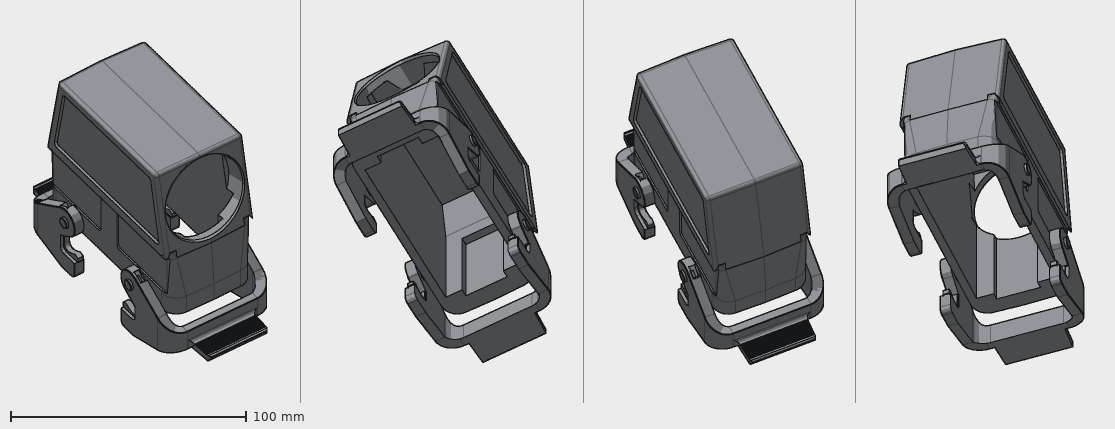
import cadquery as cq
import math

cap_top_z = 75.8
cap_bottom_z = 31.5
cap_top_half_length = 36.5
cap_bottom_half_length = 45.2
cap_half_width = 22.6
cap_draft = 1.3
cap_edge_radius = 1.7
end_slope = (cap_bottom_half_length - cap_top_half_length) / (cap_top_z - cap_bottom_z)

skirt_half_length = 46.9
skirt_half_width = 21.5
skirt_straight_z = 9.2
skirt_foot_radius = 7.6
skirt_neck_radius = 3.9
neck_top_z = 35.3
neck_top_radius = 2.2
neck_inset = 0.3
relief_start_x = 40.6
relief_top_half_width = 20.5

panel_depth = 0.7
panel_wall_angle = 30
window_depth = 1.0
window_bottom_z = 36.7
window_top_z = 70.7
window_inset = 5.2
window_radius = 1.8
side_panel_bottom_z = 10.6
side_panel_inner_x = 5.9
side_panel_radius = 2.0
side_panel_overrun = 6.5
side_panel_corner_x = 41.8

cable_hole_diameter = 40.0
cable_hole_chamfer = 0.7
cable_hole_chamfer_depth = 1.3
cable_hole_z = 53.9
cable_hole_depth = 11.8

cavity_half_length = 36.0
cavity_half_width = 17.8
cavity_shoulder_z = 49.7
cavity_top_z = 70.7
cavity_top_half_length = 32.7
cavity_nose_half_length = 39.4
cavity_nose_half_width = 10.0
cavity_nose_top_z = 41.9

pivot_x = 23.8
pivot_z = 5.9
peg_diameter = 5.1
peg_end_y = 28.6
peg_chamfer = 0.3
boss_diameter = 7.1

lever_outer_y = 27.4
arm_thickness = 4.8
lever_inner_y = lever_outer_y - arm_thickness
bail_outer_x = 53.3
bail_thickness = 3.8
bail_outer_radius = 9.2
bail_inner_radius = 5.9
trim_outer_radius = 9.8
trim_inner_radius = 3.3
trim_height = 10.5
corner_steps = 6
bail_top_z = -3.9
bail_bottom_z = -14.4
lever_bottom_z = -22.0
pivot_disc_radius = 7.0
lever_chamfer = 0.33

throat_x = 26.7
throat_top_z = -4.2
throat_curve_z = -8.6
throat_low_point = (-24.1, -11.7)
throat_start_direction = (0, -1)
hook_hump_point = (-19.6, -10.1)
hook_end_direction = (1, -0.5)
hook_tip_x = 16.6
hook_front_x = 17.0
hook_tip_z = -10.5
hook_step_z = -12.8
hook_front_radius = 2.6
lever_heel_x = 26.6

outer_plate_thickness = 1.6
outer_plate_y = lever_outer_y - outer_plate_thickness
hook_inner_step = 0.5
lip_z = -13.0
lip_throat_x = 27.5
lip_corner_radius = 2.6
lip_overrun = 1.3
spring_slot_inner_x = 25.1
spring_slot_outer_x = 29.8
spring_slot_depth = 2.0
spring_stop_inner_x = 26.0
spring_stop_outer_x = 28.8
spring_stop_width = 1.5
spring_stop_drop = 1.3

grip_tip_x = 65.5
grip_top_z = -11.1
grip_bottom_z = bail_bottom_z
grip_tip_edge_z = -12.0
grip_tip_undercut = 1.2
grip_tip_bevel = 0.9
grip_tip_bevel_drop = 0.4
grip_root_half_width = 16.1
grip_tip_half_width = 15.2
grip_root_fillet = 2.0
grip_tip_corner = 1.3
pick_margin = 0.07
groove_count = 11
groove_pitch = 0.8
groove_width = 0.4
groove_depth = 0.2
groove_start_x = 55.4


def cap_end_x(z):
    """Half-length of the cap at height z, on the parting plane."""
    return cap_top_half_length + end_slope * (cap_top_z - z)


def both_y_sides(solid):
    return solid.union(solid.mirror("XZ"))


def cap():
    half = (
        cq.Workplane("XZ")
        .polyline([
            (-cap_bottom_half_length, cap_bottom_z),
            (cap_bottom_half_length, cap_bottom_z),
            (cap_top_half_length, cap_top_z),
            (-cap_top_half_length, cap_top_z),
        ])
        .close()
        .extrude(cap_half_width, taper=cap_draft)
    )
    draft_inset = cap_half_width * math.tan(math.radians(cap_draft))
    upper_edges = cq.selectors.BoxSelector(
        (-cap_bottom_half_length, -2 * cap_half_width, cap_bottom_z + 2 * draft_inset),
        (cap_bottom_half_length, -cap_half_width / 4, 2 * cap_top_z),
    )
    half = half.edges(upper_edges).fillet(cap_edge_radius)
    return both_y_sides(half)


def corner_relief():
    """Wedges that lift the ledge at the four cap corners."""
    edge_z = cap_bottom_z + cap_half_width * math.tan(math.radians(cap_draft))
    inner_y = skirt_half_width - skirt_neck_radius
    wedge = (
        cq.Workplane("YZ", origin=(relief_start_x, 0, 0))
        .polyline([
            (inner_y, cap_bottom_z),
            (cap_half_width, cap_bottom_z),
            (cap_half_width, edge_z),
            (relief_top_half_width, neck_top_z),
            (inner_y, neck_top_z),
        ])
        .close()
        .extrude(skirt_half_length - relief_start_x)
    )
    wedge = wedge.union(wedge.mirror("YZ"))
    return both_y_sides(wedge)


def skirt_section(half_length, corner_radius, z):
    """Rectangle with rounded corners whose ends come to a slight ridge at Y = 0."""
    side = half_length - skirt_half_width * math.tan(math.radians(cap_draft))
    wire = cq.Wire.makePolygon([
        cq.Vector(half_length, 0, z),
        cq.Vector(side, skirt_half_width, z),
        cq.Vector(-side, skirt_half_width, z),
        cq.Vector(-half_length, 0, z),
        cq.Vector(-side, -skirt_half_width, z),
        cq.Vector(side, -skirt_half_width, z),
    ], close=True)
    corners = [v for v in wire.Vertices() if abs(v.Y) > skirt_half_width / 2]
    return wire.fillet2D(corner_radius, corners)


def skirt():
    sections = [
        skirt_section(skirt_half_length, skirt_foot_radius, 0),
        skirt_section(skirt_half_length, skirt_foot_radius, skirt_straight_z),
        skirt_section(cap_bottom_half_length, skirt_neck_radius, cap_bottom_z),
        skirt_section(cap_end_x(neck_top_z) - neck_inset, neck_top_radius, neck_top_z),
    ]
    return cq.Workplane(obj=cq.Solid.makeLoft(sections, True))


def window_panel():
    bottom_x = cap_end_x(window_bottom_z) - window_inset
    top_x = cap_end_x(window_top_z) - window_inset
    outline = (
        cq.Sketch()
        .polygon([
            (-bottom_x, window_bottom_z),
            (bottom_x, window_bottom_z),
            (top_x, window_top_z),
            (-top_x, window_top_z),
            (-bottom_x, window_bottom_z),
        ])
        .vertices()
        .fillet(window_radius)
    )
    panel = (
        cq.Workplane("XZ", origin=(0, -cap_half_width, 0))
        .placeSketch(outline)
        .extrude(-window_depth, taper=panel_wall_angle)
    )
    return both_y_sides(panel)


def side_panels():
    """Shallow recesses on the skirt flanks that run out around its corners."""
    length = skirt_half_length + side_panel_overrun - side_panel_inner_x
    height = cap_bottom_z - side_panel_bottom_z
    outline = cq.Sketch().rect(length, height).vertices().fillet(side_panel_radius)
    center = (side_panel_inner_x + length / 2, -skirt_half_width, side_panel_bottom_z + height / 2)
    panel = (
        cq.Workplane("XZ", origin=center)
        .placeSketch(outline)
        .extrude(-panel_depth, taper=panel_wall_angle)
    )
    floor_y = skirt_half_width - panel_depth
    corner_height = height - panel_depth
    floor_end_x = side_panel_corner_x + skirt_neck_radius
    rounded_floor = (
        cq.Workplane("XY")
        .rect(2 * floor_end_x, 2 * floor_y)
        .extrude(cap_bottom_z)
        .edges("|Z")
        .fillet(skirt_neck_radius)
    )
    corner = (
        cq.Workplane("XY", origin=(side_panel_corner_x, -skirt_half_width, cap_bottom_z - corner_height))
        .box(2 * skirt_neck_radius, skirt_neck_radius, corner_height, centered=False)
        .cut(rounded_floor)
    )
    panel = panel.union(corner)
    panel = panel.union(panel.mirror("YZ"))
    return both_y_sides(panel)


def cable_hole():
    """Bore with a tapered mouth, square to the sloped +X end of the cap."""
    face_plane = cq.Plane(
        origin=(cap_end_x(cable_hole_z), 0, cable_hole_z),
        xDir=(0, 1, 0),
        normal=(1, 0, end_slope),
    )
    radius = cable_hole_diameter / 2
    bore = cq.Workplane(face_plane).circle(radius).extrude(-cable_hole_depth)
    chamfer_angle = math.degrees(math.atan(cable_hole_chamfer / cable_hole_chamfer_depth))
    lead_in = (
        cq.Workplane(face_plane)
        .circle(radius + cable_hole_chamfer)
        .extrude(-cable_hole_chamfer_depth, taper=chamfer_angle)
    )
    return bore.union(lead_in)


def cavity():
    """Inner space open at the bottom, with a narrow nose at each end."""
    main = (
        cq.Workplane("XZ")
        .polyline([
            (-cavity_half_length, 0),
            (cavity_half_length, 0),
            (cavity_half_length, cavity_shoulder_z),
            (cavity_top_half_length, cavity_top_z),
            (-cavity_top_half_length, cavity_top_z),
            (-cavity_half_length, cavity_shoulder_z),
        ])
        .close()
        .extrude(cavity_half_width, both=True)
    )
    noses = cq.Workplane("XY").box(
        2 * cavity_nose_half_length,
        2 * cavity_nose_half_width,
        cavity_nose_top_z,
        centered=(True, True, False),
    )
    return main.union(noses)


def pivot_peg(x):
    """Boss and peg on the -Y flank that carry one lever arm."""
    base = cq.Workplane("XZ", origin=(x, -cavity_half_width, pivot_z))
    boss = base.circle(boss_diameter / 2).extrude(lever_inner_y - cavity_half_width)
    peg = (
        base.circle(peg_diameter / 2)
        .extrude(peg_end_y - cavity_half_width)
        .faces("<Y")
        .chamfer(peg_chamfer)
    )
    return boss.union(peg)


def make_hood():
    body = cap().cut(corner_relief()).union(skirt())
    body = body.cut(window_panel()).cut(side_panels())
    body = body.cut(cavity()).cut(cable_hole())
    for x in (-pivot_x, pivot_x):
        body = body.union(both_y_sides(pivot_peg(x)))
    return body


def disc_tangent_point(x, z, side):
    """Point where the line from (x, z) touches the pivot disc; side is +1 above, -1 below."""
    dx = -pivot_x - x
    dz = pivot_z - z
    distance = math.hypot(dx, dz)
    angle = math.atan2(dz, dx) + side * math.asin(pivot_disc_radius / distance)
    reach = math.sqrt(distance ** 2 - pivot_disc_radius ** 2)
    return (x + reach * math.cos(angle), z + reach * math.sin(angle))


def lever_side_profile():
    corner_inset = hook_front_radius * (1 - math.sqrt(0.5))
    return (
        cq.Workplane("XZ")
        .moveTo(-bail_outer_x, bail_top_z)
        .lineTo(*disc_tangent_point(-bail_outer_x, bail_top_z, 1))
        .threePointArc(
            (-pivot_x + pivot_disc_radius, pivot_z),
            disc_tangent_point(-throat_x, throat_top_z, -1),
        )
        .lineTo(-throat_x, throat_top_z)
        .lineTo(-throat_x, throat_curve_z)
        .spline(
            [throat_low_point, hook_hump_point, (-hook_tip_x, hook_tip_z)],
            tangents=[throat_start_direction, hook_end_direction],
            includeCurrent=True,
        )
        .lineTo(-hook_tip_x, hook_step_z)
        .lineTo(-hook_front_x, hook_step_z)
        .lineTo(-hook_front_x, lever_bottom_z + hook_front_radius)
        .threePointArc(
            (-hook_front_x - corner_inset, lever_bottom_z + corner_inset),
            (-hook_front_x - hook_front_radius, lever_bottom_z),
        )
        .lineTo(-lever_heel_x, lever_bottom_z)
        .lineTo(-bail_outer_x, bail_bottom_z)
        .close()
        .extrude(lever_outer_y, both=True)
    )


def bail_plan(outer_x, half_width, radius):
    """Tall block, open toward +X, with rounded corners at its -X end."""
    return (
        cq.Workplane("XY", origin=(-outer_x, 0, lever_bottom_z))
        .box(outer_x, 2 * half_width, pivot_z + pivot_disc_radius - lever_bottom_z,
             centered=(False, True, False))
        .edges("|Z and <X")
        .fillet(radius)
    )


def slope_z(x, start, end):
    """Height at x on the straight line through two (x, z) points."""
    return start[1] + (end[1] - start[1]) * (x - start[0]) / (end[0] - start[0])


def arm_top_z(x):
    """Height of the straight upper edge of the arms at x."""
    heel = (-bail_outer_x, bail_top_z)
    return slope_z(x, heel, disc_tangent_point(*heel, 1))


def bail_trim(start, end, height):
    """Levels the crossbar at the height of start and lets the rounded corners climb to the arms.

    The line from start to end is an edge of the lever side profile.
    A positive height trims the top, a negative one the underside.
    """
    center_x = -bail_outer_x + bail_outer_radius
    center_y = lever_outer_y - bail_outer_radius

    def rail(radius):
        points = []
        for step in range(corner_steps + 1):
            angle = math.pi / 2 * step / corner_steps
            wall_x = center_x - bail_outer_radius * math.cos(angle)
            points.append(cq.Vector(
                center_x - radius * math.cos(angle),
                center_y + radius * math.sin(angle),
                slope_z(wall_x, start, end),
            ))
        return cq.Edge.makeSpline(points)

    surface = cq.Face.makeRuledSurface(rail(trim_outer_radius), rail(trim_inner_radius))
    corner = cq.Workplane(obj=cq.Solid.extrudeLinear(surface, cq.Vector(0, 0, height)))
    crossbar = cq.Workplane("XY", origin=(center_x - trim_outer_radius, 0, start[1])).rect(
        trim_outer_radius - trim_inner_radius, 2 * center_y, centered=(False, True)
    ).extrude(height)
    return both_y_sides(corner).union(crossbar)


def hook_relief(start_y, thickness):
    """Cuts one side of the arm back to the lip so that only the hump of the hook stands up."""
    width = lip_throat_x - hook_tip_x + lip_overrun
    return (
        cq.Workplane("XY", origin=(-lip_throat_x, start_y, lip_z))
        .box(width, thickness, throat_top_z - lip_z, centered=False)
        .edges("|Y and <X and <Z")
        .fillet(lip_corner_radius)
    )


def spring_slot():
    """Slot that dives into the arm at 45 degrees from its sloped top, open at the inner face."""
    outer_z = arm_top_z(-spring_slot_outer_x)
    inner_z = arm_top_z(-spring_slot_inner_x)
    reach = spring_slot_depth
    return (
        cq.Workplane("XZ", origin=(0, outer_plate_y, 0))
        .polyline([
            (-spring_slot_outer_x, outer_z),
            (-spring_slot_outer_x + reach, outer_z - reach),
            (-spring_slot_inner_x + reach, inner_z - reach),
            (-spring_slot_inner_x, inner_z),
            (-spring_slot_inner_x, pivot_z + pivot_disc_radius),
            (-spring_slot_outer_x, pivot_z + pivot_disc_radius),
        ])
        .close()
        .extrude(arm_thickness - outer_plate_thickness)
    )


def spring_stop():
    outer_z = arm_top_z(-spring_stop_outer_x) - spring_stop_drop
    inner_z = arm_top_z(-spring_stop_inner_x) - spring_stop_drop
    foot_z = outer_z - spring_slot_depth
    return (
        cq.Workplane("XZ", origin=(0, outer_plate_y, 0))
        .polyline([
            (-spring_stop_outer_x, foot_z),
            (-spring_stop_inner_x, foot_z),
            (-spring_stop_inner_x, inner_z),
            (-spring_stop_outer_x, outer_z),
        ])
        .close()
        .extrude(spring_stop_width)
    )


def grip():
    """Finger plate with a tapered plan, a beveled and undercut tip."""
    root_x = bail_outer_x - bail_thickness
    plate = (
        cq.Workplane("XZ")
        .polyline([
            (-root_x, grip_top_z),
            (-grip_tip_x + grip_tip_bevel, grip_top_z),
            (-grip_tip_x, grip_top_z - grip_tip_bevel_drop),
            (-grip_tip_x, grip_tip_edge_z),
            (-grip_tip_x + grip_tip_undercut, grip_bottom_z),
            (-root_x, grip_bottom_z),
        ])
        .close()
        .extrude(grip_root_half_width, both=True)
    )
    plan = (
        cq.Workplane("XY", origin=(0, 0, grip_bottom_z))
        .polyline([
            (-root_x, -grip_root_half_width),
            (-grip_tip_x, -grip_tip_half_width),
            (-grip_tip_x, grip_tip_half_width),
            (-root_x, grip_root_half_width),
        ])
        .close()
        .extrude(grip_top_z - grip_bottom_z)
        .edges("|Z and <X")
        .fillet(grip_tip_corner)
    )
    return plate.intersect(plan)


def grip_grooves():
    last_x = groove_start_x + (groove_count - 1) * groove_pitch
    return (
        cq.Workplane("XY", origin=(-(groove_start_x + last_x) / 2, 0, grip_top_z))
        .rarray(groove_pitch, 1.3, groove_count, 1)
        .rect(groove_width, 2 * grip_root_half_width)
        .extrude(-groove_depth)
    )


def make_lever():
    """The -X lever."""
    outer = bail_plan(bail_outer_x, lever_outer_y, bail_outer_radius)
    inner = bail_plan(bail_outer_x - bail_thickness, lever_inner_y, bail_inner_radius)
    body = lever_side_profile().intersect(outer)
    body = body.faces("<Y or >Y").edges("not |Z").chamfer(lever_chamfer)
    body = body.cut(inner)
    top_line_start = (-bail_outer_x, bail_top_z)
    top_line_end = disc_tangent_point(-bail_outer_x, bail_top_z, 1)
    body = body.cut(bail_trim(top_line_start, top_line_end, trim_height))
    bottom_line_start = (-bail_outer_x, bail_bottom_z)
    bottom_line_end = (-lever_heel_x, lever_bottom_z)
    body = body.cut(bail_trim(bottom_line_start, bottom_line_end, -trim_height))
    body = body.cut(both_y_sides(hook_relief(outer_plate_y, outer_plate_thickness)))
    body = body.cut(both_y_sides(hook_relief(lever_inner_y, hook_inner_step)))
    body = body.cut(both_y_sides(spring_slot()))
    body = body.union(both_y_sides(spring_stop()))
    body = body.union(grip())
    root_edges = cq.selectors.BoxSelector(
        (-bail_outer_x - pick_margin, -grip_root_half_width, grip_bottom_z + pick_margin),
        (-bail_outer_x + pick_margin, grip_root_half_width, grip_top_z + pick_margin),
    )
    body = body.edges(root_edges).fillet(grip_root_fillet)
    body = body.cut(grip_grooves())
    pivot_hole = (
        cq.Workplane("XZ", origin=(-pivot_x, 0, pivot_z))
        .circle(peg_diameter / 2)
        .extrude(lever_outer_y, both=True)
    )
    return body.cut(pivot_hole)


hood = make_hood()

levers = []
for side in (-1, 1):
    lever = make_lever()
    if side > 0:
        lever = lever.mirror("YZ")
    levers.extend(lever.solids().vals())

result = cq.Compound.makeCompound([*hood.solids().vals(), *levers])